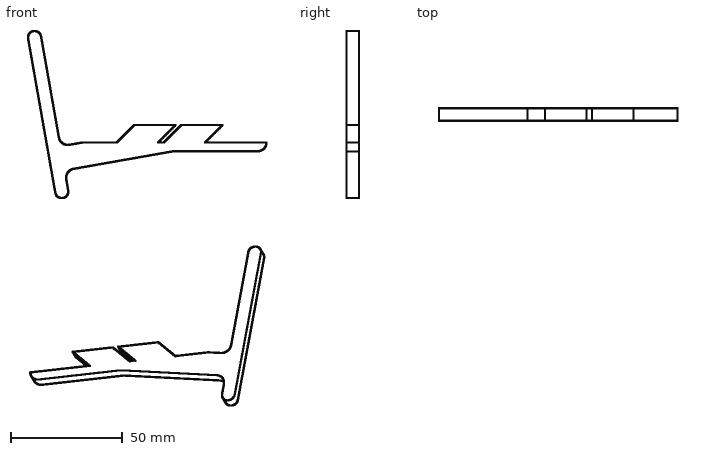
import cadquery as cq
import math

length = 106.8
thickness = 5.8
tilt = math.radians(10)

post_radius = 3.0
post_rise = 68.9

arm_top = 25.0
arm_thickness = 4.1
arm_bottom = arm_top - arm_thickness
upper_bend_x = 24.5
lower_bend_x = 65.0
root_fillet = 4.0

tooth_count = 2
tooth_start_x = 39.7
tooth_length = 18.6
tooth_pitch = 21.0
tooth_height = 7.8

post_bottom = (post_radius + post_rise * math.tan(tilt), post_radius)


def post_point(along, across):
    """Point in XZ measured along and across the post axis from the lower round centre."""
    return (
        post_bottom[0] - along * math.sin(tilt) + across * math.cos(tilt),
        post_bottom[1] + along * math.cos(tilt) + across * math.sin(tilt),
    )


def root_corner(bend_x, bend_z):
    """Point where the sloped arm edge through the bend meets the arm side of the post."""
    dx = bend_x - post_bottom[0]
    dz = bend_z - post_bottom[1]
    along = dz * math.cos(tilt) - dx * math.sin(tilt)
    return post_point(along, post_radius)


def make_body():
    post_length = post_rise / math.cos(tilt)
    upper_root = root_corner(upper_bend_x, arm_top)
    lower_root = root_corner(lower_bend_x, arm_bottom)
    tip_mid = (
        length - arm_thickness * (1 - math.cos(math.pi / 4)),
        arm_top - arm_thickness * math.sin(math.pi / 4),
    )
    outline = (
        cq.Workplane("XZ")
        .moveTo(*post_point(0, -post_radius))
        .lineTo(*post_point(post_length, -post_radius))
        .threePointArc(post_point(post_length + post_radius, 0), post_point(post_length, post_radius))
        .lineTo(*upper_root)
        .lineTo(upper_bend_x, arm_top)
        .lineTo(length, arm_top)
        .threePointArc(tip_mid, (length - arm_thickness, arm_bottom))
        .lineTo(lower_bend_x, arm_bottom)
        .lineTo(*lower_root)
        .lineTo(*post_point(0, post_radius))
        .threePointArc(post_point(-post_radius, 0), post_point(0, -post_radius))
        .close()
    )
    body = outline.extrude(thickness / 2, both=True)
    for x, z in (upper_root, lower_root):
        corner = cq.selectors.NearestToPointSelector((x, 0, z))
        body = body.edges("|Y").edges(corner).fillet(root_fillet)
    return body


def make_tooth(start_x):
    lean = tooth_height
    tooth_top = arm_top + tooth_height
    return (
        cq.Workplane("XZ")
        .moveTo(start_x, arm_bottom)
        .lineTo(start_x, arm_top)
        .lineTo(start_x + lean, tooth_top)
        .lineTo(start_x + lean + tooth_length, tooth_top)
        .lineTo(start_x + tooth_length, arm_top)
        .lineTo(start_x + tooth_length, arm_bottom)
        .close()
        .extrude(thickness / 2, both=True)
    )


result = make_body()
for index in range(tooth_count):
    result = result.union(make_tooth(tooth_start_x + index * tooth_pitch))
result = result.clean()